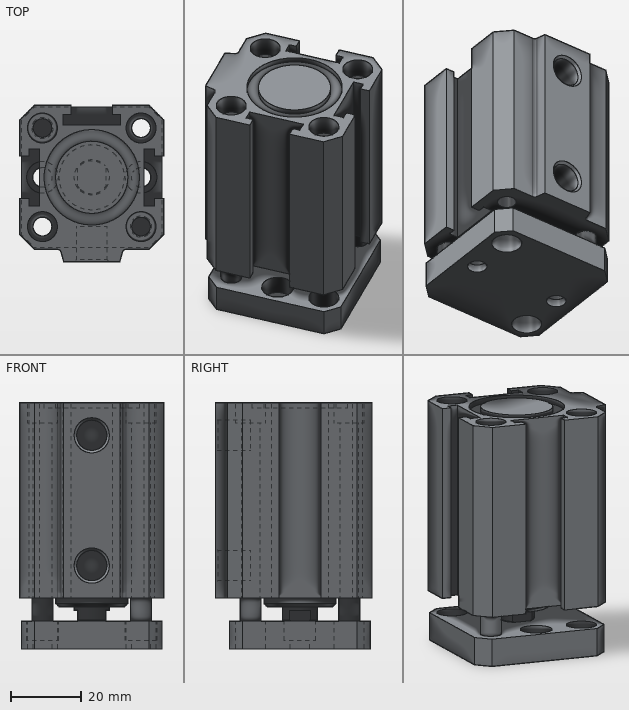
import cadquery as cq
import math


total_height = 70.0
plate_thickness = 8.0
plate_gap = 6.5
housing_bottom = plate_thickness + plate_gap
housing_height = total_height - housing_bottom
fastener_offset = 14.0

housing_width = 41.0
half_housing = housing_width / 2
housing_chamfer = 4.25
rib_height = 3.5
rib_face_width = 16.0
rib_side_angle = 15.0
rib_root_radius = 1.0

slot_mouth_width = 12.0
rear_slot_mouth_width = 11.7
slot_width = 16.2
slot_lip = 2.7
slot_depth = 5.6

screw_hole_diameter = 5.3
screw_head_diameter = 8.5
screw_head_depth = 5.7

recess_diameter = 27.1
recess_depth = 1.5
cap_diameter = 20.5

port_diameter = 8.57
port_mouth_diameter = 10.0
port_chamfer = (port_mouth_diameter - port_diameter) / 2
port_depth = 10.0
port_inset = 9.25

collar_diameter = 20.5
collar_height = 2.5
collar_chamfer = 1.0

plate_width = 40.0
plate_chamfer = plate_width / 2 - (half_housing - housing_chamfer)
mount_hole_diameter = 5.5
mount_head_diameter = 9.0
mount_head_depth = 5.5

guide_diameter = 6.0
rod_diameter = 10.0
rod_flat_width = 8.0
rod_flat_height = 3.0
rod_end_chamfer = 0.3

screw_corners = [(sx * fastener_offset, sy * fastener_offset) for sx in (-1, 1) for sy in (-1, 1)]
clear_corners = [(x, y) for x, y in screw_corners if x == y]
guide_corners = [(x, y) for x, y in screw_corners if x != y]


def make_port_rib():
    """Dovetailed rib on the -Y face, with rounded roots."""
    angle = math.radians(rib_side_angle)
    face_x = rib_face_width / 2
    face_y = -half_housing - rib_height
    root_x = face_x + rib_height * math.tan(angle)
    tangent = rib_root_radius * math.tan((math.pi / 2 - angle) / 2)
    wall_x = root_x + tangent
    flank_x = root_x - tangent * math.sin(angle)
    flank_y = -half_housing - tangent * math.cos(angle)
    mid_angle = (math.pi / 2 + math.pi - angle) / 2
    mid_x = wall_x + rib_root_radius * math.cos(mid_angle)
    mid_y = -half_housing - rib_root_radius + rib_root_radius * math.sin(mid_angle)
    return (
        cq.Workplane("XY", origin=(0, 0, housing_bottom))
        .moveTo(-face_x, face_y)
        .lineTo(face_x, face_y)
        .lineTo(flank_x, flank_y)
        .threePointArc((mid_x, mid_y), (wall_x, -half_housing))
        .lineTo(wall_x, 0)
        .lineTo(-wall_x, 0)
        .lineTo(-wall_x, -half_housing)
        .threePointArc((-mid_x, mid_y), (-flank_x, flank_y))
        .close()
        .extrude(housing_height)
    )


def make_t_slot(mouth_width, turn):
    """T-slot cutter for the +X face, turned about Z to the wanted face."""
    base = cq.Workplane("XY", origin=(0, 0, housing_bottom))
    mouth = base.center(half_housing - slot_lip / 2, 0).rect(slot_lip, mouth_width).extrude(housing_height)
    inner_depth = slot_depth - slot_lip
    inner_x = half_housing - slot_lip - inner_depth / 2
    inner = base.center(inner_x, 0).rect(inner_depth, slot_width).extrude(housing_height)
    return mouth.union(inner).rotate((0, 0, 0), (0, 0, 1), turn)


def make_port(z):
    """Blind port cutter with a countersunk mouth, entering from the rib face."""
    face = cq.Workplane("XZ", origin=(0, -half_housing - rib_height, z))
    bore = face.circle(port_diameter / 2).extrude(-port_depth)
    mouth = (
        face.circle(port_mouth_diameter / 2)
        .workplane(offset=-port_chamfer)
        .circle(port_diameter / 2)
        .loft()
    )
    return bore.union(mouth)


def make_housing():
    body = (
        cq.Workplane("XY", origin=(0, 0, housing_bottom))
        .rect(housing_width, housing_width)
        .extrude(housing_height)
        .edges("|Z")
        .chamfer(housing_chamfer)
        .union(make_port_rib())
    )
    for mouth_width, turn in ((slot_mouth_width, 0), (rear_slot_mouth_width, 90), (slot_mouth_width, 180)):
        body = body.cut(make_t_slot(mouth_width, turn))
    for z in (housing_bottom + port_inset, total_height - port_inset):
        body = body.cut(make_port(z))

    top = cq.Workplane("XY", origin=(0, 0, total_height))
    recess = top.circle(recess_diameter / 2).circle(cap_diameter / 2).extrude(-recess_depth)
    screw_holes = top.pushPoints(screw_corners).circle(screw_hole_diameter / 2).extrude(-housing_height)
    screw_heads = top.pushPoints(screw_corners).circle(screw_head_diameter / 2).extrude(-screw_head_depth)
    body = body.cut(recess).cut(screw_holes).cut(screw_heads)

    collar = (
        cq.Workplane("XY", origin=(0, 0, housing_bottom))
        .circle(collar_diameter / 2)
        .extrude(-collar_height)
        .faces("<Z")
        .chamfer(collar_chamfer)
    )
    return body.union(collar)


def make_piston_rod():
    """Rod stub between plate and collar, with two wrench flats facing -X and +X."""
    height = plate_gap - collar_height
    base = cq.Workplane("XY", origin=(0, 0, plate_thickness))
    rod = base.circle(rod_diameter / 2).extrude(height).faces("<Z").chamfer(rod_end_chamfer)
    outside_flats = (
        base.rect(2 * rod_diameter, 2 * rod_diameter)
        .rect(rod_flat_width, 2 * rod_diameter)
        .extrude(rod_flat_height)
    )
    return rod.cut(outside_flats)


def make_plate():
    """Tool plate with the guide rods and the piston rod fixed to it."""
    plate = (
        cq.Workplane("XY")
        .rect(plate_width, plate_width)
        .extrude(plate_thickness)
        .edges("|Z")
        .chamfer(plate_chamfer)
    )
    access_holes = cq.Workplane("XY").pushPoints(clear_corners).circle(screw_head_diameter / 2)
    plate = plate.cut(access_holes.extrude(plate_thickness))
    plate = (
        plate.faces(">Z")
        .workplane(origin=(0, 0, plate_thickness))
        .pushPoints([(-fastener_offset, 0), (fastener_offset, 0)])
        .cboreHole(mount_hole_diameter, mount_head_diameter, mount_head_depth)
    )
    guides = (
        cq.Workplane("XY", origin=(0, 0, plate_thickness))
        .pushPoints(guide_corners)
        .circle(guide_diameter / 2)
        .extrude(plate_gap)
    )
    return plate.union(guides).union(make_piston_rod())


housing = make_housing()
plate = make_plate()

result = cq.Compound.makeCompound([housing.val(), plate.val()])